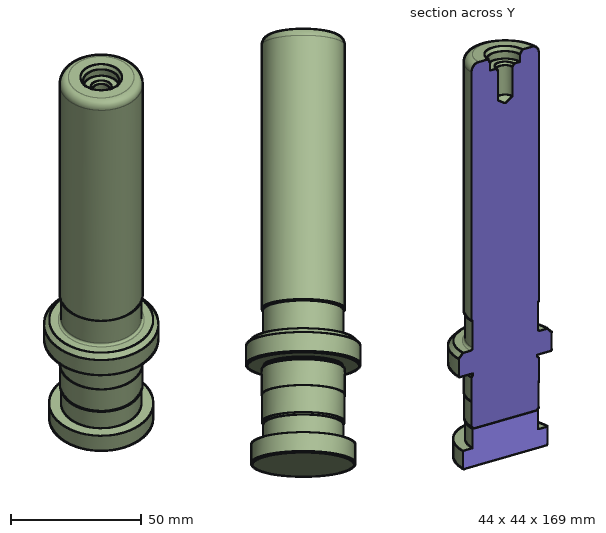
import cadquery as cq
import math

total_height = 169.0

collar_radius = 40.0 / 2
collar_flange_height = 8.0
collar_height = 16.0
collar_chamfer = 0.5
neck_radius = 31.0 / 2

pillar_radius = 32.0 / 2
fit_radius = 31.8 / 2
foot_radius = 15.2
foot_chamfer_height = 0.8
fit_top = 27.5
undercut_radius = 15.2
shank_top = 38.5
shank_chamfer_height = 0.8

flange_radius = 22.0
flange_bottom = 39.0
flange_height = 10.0
flange_top = flange_bottom + flange_height
flange_bottom_chamfer = 0.5
flange_top_chamfer = 2.0
neck_fillet = 1.0

neck_top = 61.0
guide_chamfer = pillar_radius - neck_radius
nose_radius = 3.4

cone_half_angle = math.radians(30)
recess_radius = 7.0
recess_rim_radius = 8.0
recess_depth = 4.9
bore_radius = 3.4
bore_rim_radius = 4.0
bore_depth = 13.5
drill_half_angle = math.radians(59)


def countersink_depth(rim_radius, hole_radius):
    return (rim_radius - hole_radius) / math.tan(cone_half_angle)


def revolve(profile):
    """Turn a closed radius-height profile about the Z axis."""
    return profile.close().revolve(360, (0, 0, 0), (0, 1, 0))


def make_collar():
    return revolve(
        cq.Workplane("XZ")
        .moveTo(0, 0)
        .lineTo(collar_radius - collar_chamfer, 0)
        .lineTo(collar_radius, collar_chamfer)
        .lineTo(collar_radius, collar_flange_height)
        .lineTo(neck_radius, collar_flange_height)
        .lineTo(neck_radius, collar_height)
        .lineTo(0, collar_height)
    )


def make_pillar_blank():
    return revolve(
        cq.Workplane("XZ")
        .moveTo(0, collar_height)
        .lineTo(foot_radius, collar_height)
        .lineTo(fit_radius, collar_height + foot_chamfer_height)
        .lineTo(fit_radius, fit_top)
        .lineTo(pillar_radius, fit_top)
        .lineTo(pillar_radius, shank_top - shank_chamfer_height)
        .lineTo(undercut_radius, shank_top)
        .lineTo(undercut_radius, flange_bottom)
        .lineTo(flange_radius - flange_bottom_chamfer, flange_bottom)
        .lineTo(flange_radius, flange_bottom + flange_bottom_chamfer)
        .lineTo(flange_radius, flange_top - flange_top_chamfer)
        .lineTo(flange_radius - flange_top_chamfer, flange_top)
        .lineTo(neck_radius + neck_fillet, flange_top)
        .radiusArc((neck_radius, flange_top + neck_fillet), neck_fillet)
        .lineTo(neck_radius, neck_top)
        .lineTo(pillar_radius, neck_top + guide_chamfer)
        .lineTo(pillar_radius, total_height - nose_radius)
        .radiusArc((pillar_radius - nose_radius, total_height), -nose_radius)
        .lineTo(0, total_height)
    )


def make_centre_hole():
    """Countersunk recess, countersunk bore and conical drill point."""
    recess_floor = total_height - recess_depth
    bore_bottom = recess_floor - bore_depth
    drill_point = bore_radius / math.tan(drill_half_angle)
    return revolve(
        cq.Workplane("XZ")
        .moveTo(0, total_height)
        .lineTo(recess_rim_radius, total_height)
        .lineTo(recess_radius, total_height - countersink_depth(recess_rim_radius, recess_radius))
        .lineTo(recess_radius, recess_floor)
        .lineTo(bore_rim_radius, recess_floor)
        .lineTo(bore_radius, recess_floor - countersink_depth(bore_rim_radius, bore_radius))
        .lineTo(bore_radius, bore_bottom)
        .lineTo(0, bore_bottom - drill_point)
    )


collar = make_collar()
pillar = make_pillar_blank().cut(make_centre_hole())

result = cq.Compound.makeCompound([collar.val(), pillar.val()])